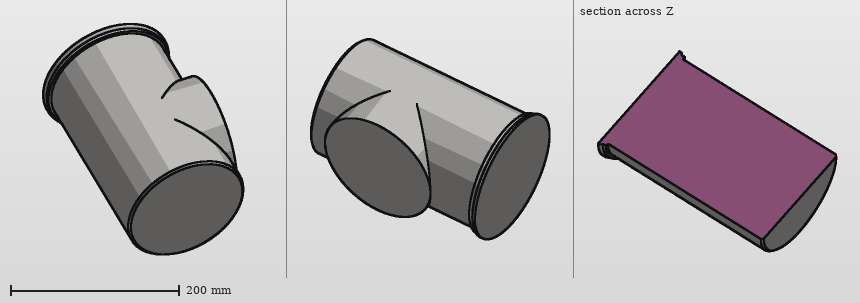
import cadquery as cq

INCH = 25.4
body_length = 9.4 * INCH
body_radius = 5.9 * INCH / 2
end_chamfer = 0.1 * INCH

rim_radius = 6.4 * INCH / 2
rim_thickness = 0.1 * INCH
rim_rounding = 0.1 * INCH
collar_radius = rim_radius - rim_rounding
flange_length = 0.4 * INCH

branch_radius = body_radius
branch_reach = body_radius
branch_distance = 5.6 * INCH

flange_face_x = -branch_distance
free_end_x = flange_face_x + body_length


def make_body():
    """Flanged round body, revolved about the X axis."""
    rounding_start_x = flange_face_x + rim_thickness
    rounding_end_x = rounding_start_x + rim_rounding
    flange_end_x = flange_face_x + flange_length
    half_profile = (
        cq.Workplane("XY")
        .moveTo(flange_face_x, 0)
        .lineTo(flange_face_x, rim_radius)
        .lineTo(rounding_start_x, rim_radius)
        .tangentArcPoint((rounding_end_x, collar_radius), relative=False)
        .lineTo(flange_end_x, collar_radius)
        .lineTo(flange_end_x, body_radius)
        .lineTo(free_end_x - end_chamfer, body_radius)
        .lineTo(free_end_x, body_radius - end_chamfer)
        .lineTo(free_end_x, 0)
        .close()
    )
    return half_profile.revolve(360, (0, 0, 0), (1, 0, 0))


def make_branch():
    """Round side branch running from the body axis toward +Y."""
    return cq.Workplane("XZ").circle(branch_radius).extrude(-branch_reach)


result = make_body().union(make_branch())